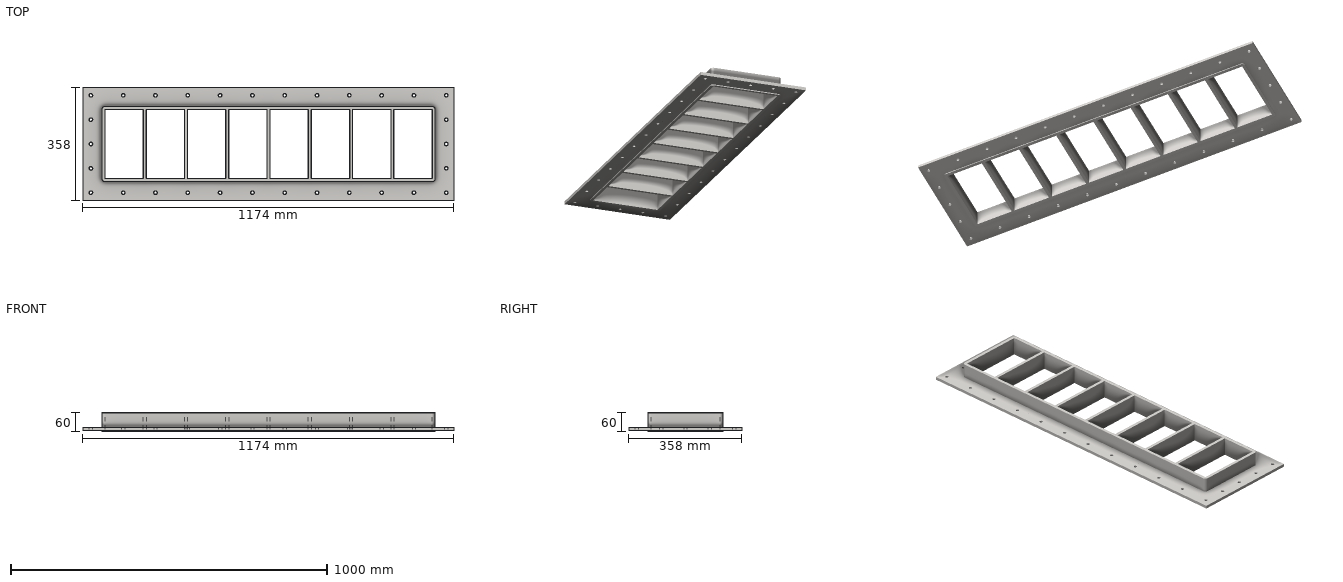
import cadquery as cq

flange_length = 1174.0
flange_width = 358.0
flange_thickness = 10.0

flange_overhang = 60.0
frame_height = 60.0
frame_wall = 10.0
frame_corner_radius = 10.0
frame_projection_below = 3.0

cell_count = 8
rib_thickness = 10.0

hole_diameter = 10.5
hole_edge_distance = 25.0
hole_gaps_along_x = 11
hole_gaps_along_y = 4

frame_length = flange_length - 2 * flange_overhang
frame_width = flange_width - 2 * flange_overhang
opening_length = frame_length - 2 * frame_wall
opening_width = frame_width - 2 * frame_wall
cell_length = (opening_length - (cell_count - 1) * rib_thickness) / cell_count
cell_pitch = cell_length + rib_thickness
hole_span_x = flange_length - 2 * hole_edge_distance
hole_span_y = flange_width - 2 * hole_edge_distance


def make_flange():
    """Flat plate, raised above the bottom of the frame."""
    plate = cq.Workplane("XY").workplane(offset=frame_projection_below)
    return plate.rect(flange_length, flange_width).extrude(flange_thickness)


def make_frame_block():
    """Solid block with rounded upright edges; the cells are cut from it later."""
    block = cq.Workplane("XY").rect(frame_length, frame_width).extrude(frame_height)
    return block.edges("|Z").fillet(frame_corner_radius)


def make_cells():
    """Row of sharp-cornered through openings, leaving ribs between them."""
    return (
        cq.Workplane("XY")
        .rarray(cell_pitch, 1, cell_count, 1)
        .rect(cell_length, opening_width)
        .extrude(frame_height)
    )


def bolt_positions():
    """Evenly spaced points on the rim rectangle, corners included once."""
    half_x = hole_span_x / 2
    half_y = hole_span_y / 2
    points = []
    for i in range(hole_gaps_along_x + 1):
        x = -half_x + i * hole_span_x / hole_gaps_along_x
        points += [(x, -half_y), (x, half_y)]
    for j in range(1, hole_gaps_along_y):
        y = -half_y + j * hole_span_y / hole_gaps_along_y
        points += [(-half_x, y), (half_x, y)]
    return points


def make_bolt_holes():
    """Cylinders that pierce the flange."""
    return (
        cq.Workplane("XY")
        .pushPoints(bolt_positions())
        .circle(hole_diameter / 2)
        .extrude(frame_height)
    )


result = make_flange().union(make_frame_block()).cut(make_cells()).cut(make_bolt_holes())